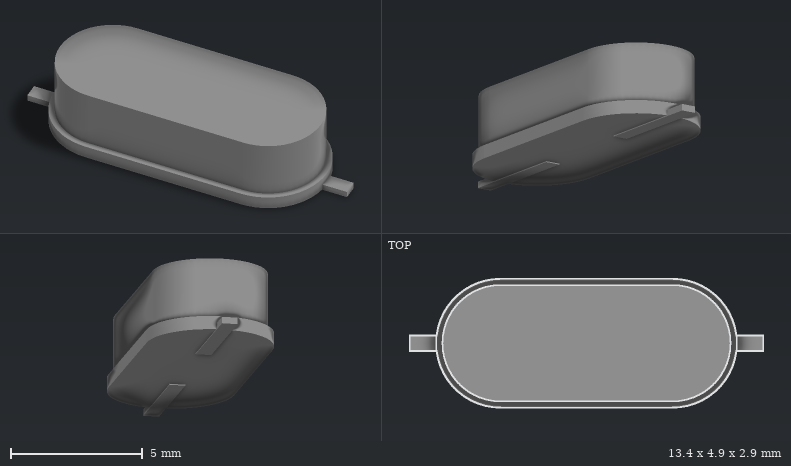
import cadquery as cq

overall_length = 13.41
overall_height = 2.9
base_width = 4.9
end_center_spacing = 6.52
rim = 0.24
base_top = 0.56
lead_length = 4.49
lead_width = 0.6
lead_thickness = 0.25
lead_standoff = 0.04

base_length = end_center_spacing + base_width
base_thickness = base_top - lead_standoff
can_width = base_width - 2 * rim
can_length = end_center_spacing + can_width
can_height = overall_height - base_top
lead_center_x = (overall_length - lead_length) / 2


def make_rounded_block(length, width, height, bottom):
    """Upright block with full-radius ends, long axis along X."""
    return cq.Workplane("XY").workplane(offset=bottom).slot2D(length, width).extrude(height)


def make_lead(side):
    """Flat lead at the -X (side = -1) or +X (side = 1) end."""
    return (
        cq.Workplane("XY")
        .box(lead_length, lead_width, lead_thickness, centered=(True, True, False))
        .translate((side * lead_center_x, 0, 0))
    )


def make_base(leads):
    """Base plate with a matching groove in its underside for each lead."""
    base = make_rounded_block(base_length, base_width, base_thickness, lead_standoff)
    for lead in leads:
        base = base.cut(lead)
    return base


def make_can():
    """Plain can standing on the base plate."""
    return make_rounded_block(can_length, can_width, can_height, base_top)


leads = [make_lead(side) for side in (-1, 1)]
base = make_base(leads)
can = make_can()

result = cq.Compound.makeCompound([can.val(), base.val(), *[lead.val() for lead in leads]])